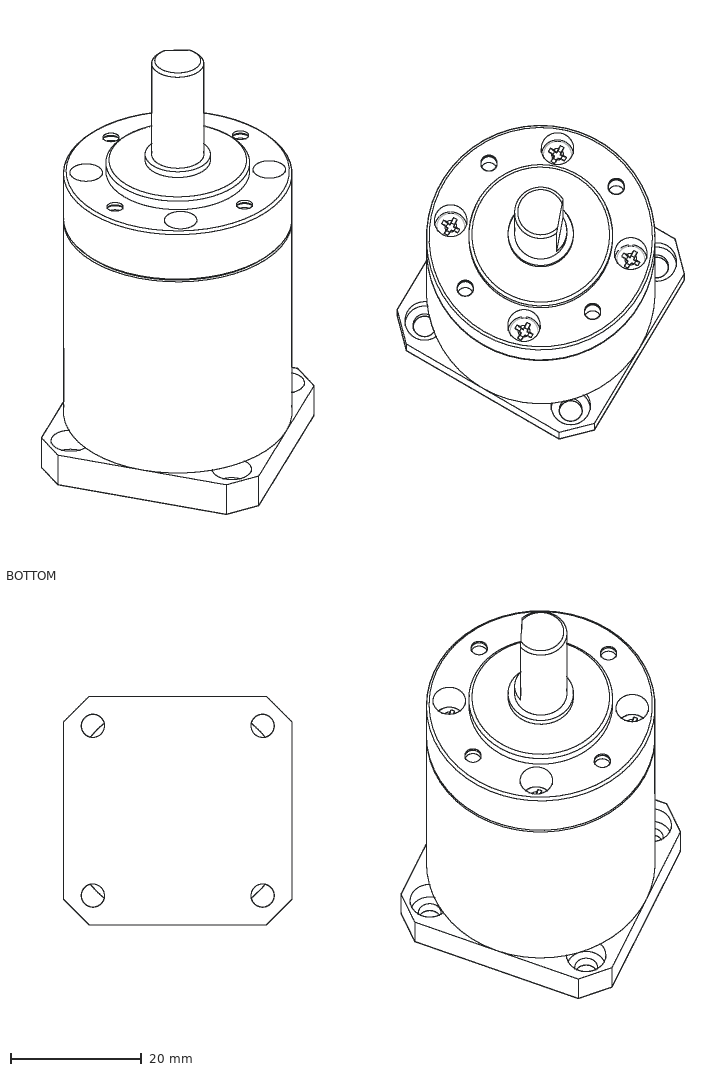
import cadquery as cq
import math

total_height = 69.0
flange_side = 35.0
body_diameter = flange_side

flange_thickness = 5.4
cap_base_z = 40.0
cap_top_z = 49.0
boss_top_z = 51.0
collar_top_z = 52.0

flange_corner_cut = 3.9
mount_hole_offset = 13.0
mount_hole_diameter = 3.5
mount_counterbore_diameter = 6.0
mount_counterbore_depth = 3.45

boss_diameter = 22.0
edge_chamfer = 0.5
cap_top_chamfer = 0.4
feature_circle_radius = 14.0
feature_angle = 20.0
tapped_hole_diameter = 2.5
tapped_hole_depth = 6.0
thread_groove_top = 0.4
thread_groove_height = 0.9
thread_groove_depth = 0.4

shaft_diameter = 8.0
collar_diameter = 10.0
flat_distance = 3.0
flat_base_z = 54.0

head_diameter = 5.0
head_edge_height = 0.9
head_dome_height = 1.0
head_rim_fillet = 0.8
screw_shank_diameter = 2.5
screw_shank_length = 4.0
recess_length = 3.3
recess_floor_length = 1.4
recess_width = 0.6
recess_depth = 1.25
recess_centre_radius = 1.0
recess_point_radius = 0.35
screw_seat_height = 2.75
screw_seat_z = cap_base_z + screw_seat_height
screw_tip_z = screw_seat_z - screw_shank_length


def disc(diameter, bottom_z, top_z):
    return cq.Workplane("XY").workplane(offset=bottom_z).circle(diameter / 2).extrude(top_z - bottom_z)


def discs_at(points, diameter, bottom_z, top_z):
    return (
        cq.Workplane("XY")
        .workplane(offset=bottom_z)
        .pushPoints(points)
        .circle(diameter / 2)
        .extrude(top_z - bottom_z)
    )


def around_axis(first_angle):
    """Four points on the feature circle, a quarter turn apart."""
    angles = [math.radians(first_angle + 90.0 * i) for i in range(4)]
    return [(feature_circle_radius * math.cos(a), feature_circle_radius * math.sin(a)) for a in angles]


screw_points = around_axis(feature_angle)
tapped_points = around_axis(feature_angle + 45.0)


def make_housing():
    """Barrel on a square flange with counterbored corner holes."""
    flange = (
        cq.Workplane("XY")
        .rect(flange_side, flange_side)
        .extrude(flange_thickness)
        .edges("|Z")
        .chamfer(flange_corner_cut)
        .faces(">Z")
        .workplane()
        .rect(2 * mount_hole_offset, 2 * mount_hole_offset, forConstruction=True)
        .vertices()
        .cboreHole(mount_hole_diameter, mount_counterbore_diameter, mount_counterbore_depth)
    )
    barrel = disc(body_diameter, flange_thickness, cap_base_z)
    shank_holes = discs_at(screw_points, screw_shank_diameter, screw_tip_z, cap_base_z)
    return flange.union(barrel).cut(shank_holes)


def make_thread_groove():
    """V-shaped ring cut into the wall of a tapped hole, measured down from the cap's top."""
    wall = tapped_hole_diameter / 2
    groove_base = thread_groove_top + thread_groove_height
    groove_middle = thread_groove_top + thread_groove_height / 2
    return (
        cq.Workplane("XZ")
        .moveTo(0, -thread_groove_top)
        .lineTo(wall, -thread_groove_top)
        .lineTo(wall + thread_groove_depth, -groove_middle)
        .lineTo(wall, -groove_base)
        .lineTo(0, -groove_base)
        .close()
        .revolve()
    )


def make_cap():
    """Round front cap and its central boss, with screw counterbores and tapped holes."""
    plate = disc(body_diameter, cap_base_z, cap_top_z)
    plate = plate.faces(">Z").edges().chamfer(cap_top_chamfer)
    plate = plate.faces("<Z").edges().chamfer(edge_chamfer)
    boss = disc(boss_diameter, cap_top_z, boss_top_z).faces(">Z").edges().chamfer(edge_chamfer)
    cap = plate.union(boss)
    head_holes = discs_at(screw_points, head_diameter, screw_seat_z, cap_top_z)
    shank_holes = discs_at(screw_points, screw_shank_diameter, cap_base_z, screw_seat_z)
    tapped_holes = discs_at(tapped_points, tapped_hole_diameter, cap_top_z - tapped_hole_depth, cap_top_z)
    cap = cap.cut(head_holes).cut(shank_holes).cut(tapped_holes)
    for point in tapped_points:
        cap = cap.cut(make_thread_groove().translate((*point, cap_top_z)))
    return cap


def make_shaft():
    """Output shaft with a collar resting on the boss and a flat down to just above the collar."""
    shaft = disc(shaft_diameter, boss_top_z, total_height).faces(">Z").edges().chamfer(edge_chamfer)
    collar = disc(collar_diameter, boss_top_z, collar_top_z)
    flat_cut = (
        cq.Workplane("XY")
        .workplane(offset=flat_base_z)
        .center(0, flat_distance + shaft_diameter / 2)
        .rect(2 * shaft_diameter, shaft_diameter)
        .extrude(total_height - flat_base_z)
        .rotate((0, 0, 0), (0, 0, 1), feature_angle)
    )
    return shaft.cut(flat_cut).union(collar)


def make_cross_recess(top_z):
    """Two crossed slots with sloping ends around a tapered centre."""
    floor_z = top_z - recess_depth
    slot = (
        cq.Workplane("XZ")
        .moveTo(-recess_length / 2, top_z)
        .lineTo(recess_length / 2, top_z)
        .lineTo(recess_floor_length / 2, floor_z)
        .lineTo(-recess_floor_length / 2, floor_z)
        .close()
        .extrude(recess_width / 2, both=True)
    )
    centre = cq.Workplane(
        cq.Solid.makeCone(recess_point_radius, recess_centre_radius, recess_depth, cq.Vector(0, 0, floor_z))
    )
    return slot.union(slot.rotate((0, 0, 0), (0, 0, 1), 90)).union(centre)


def make_screw(point):
    """Cross-head screw with a domed head, seated at the given point."""
    radius = head_diameter / 2
    head_top = head_edge_height + head_dome_height
    dome_sphere_radius = (radius**2 + head_dome_height**2) / (2 * head_dome_height)
    arc_mid_r = radius / 2
    arc_mid_z = head_top - dome_sphere_radius + math.sqrt(dome_sphere_radius**2 - arc_mid_r**2)
    head = (
        cq.Workplane("XZ")
        .lineTo(radius, 0)
        .lineTo(radius, head_edge_height)
        .threePointArc((arc_mid_r, arc_mid_z), (0, head_top))
        .close()
        .revolve()
    )
    rim_circle = cq.selectors.NearestToPointSelector((0, 0, head_edge_height))
    head = head.edges(rim_circle).fillet(head_rim_fillet)
    shank = disc(screw_shank_diameter, -screw_shank_length, 0)
    return head.union(shank).cut(make_cross_recess(head_top)).translate((*point, screw_seat_z))


housing = make_housing()
cap = make_cap()
shaft = make_shaft()
screws = [make_screw(point) for point in screw_points]
result = cq.Compound.makeCompound(
    [housing.val(), cap.val(), shaft.val(), *[screw.val() for screw in screws]]
)